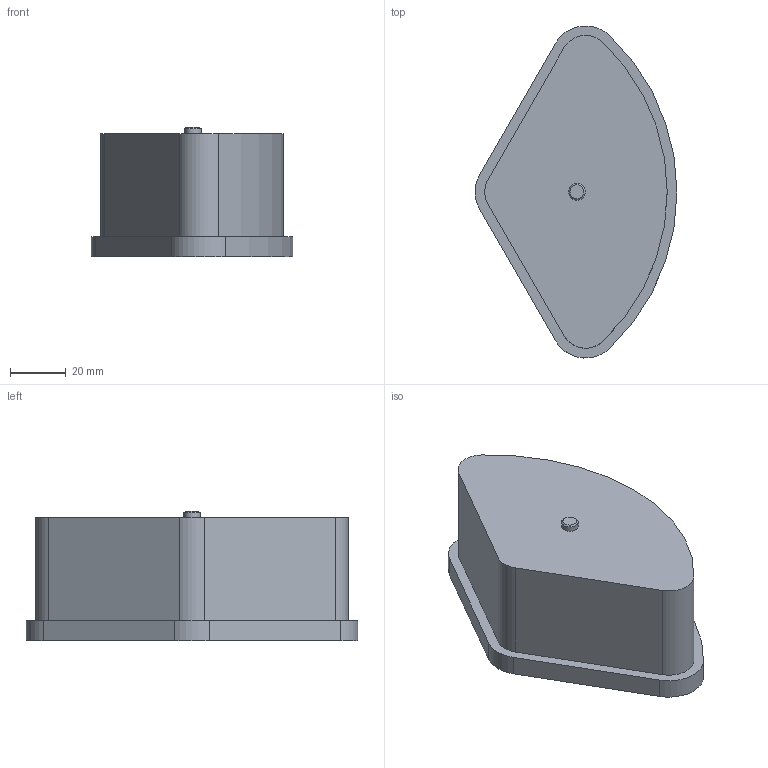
import cadquery as cq
import math

half_angle = math.radians(60)
block_arc_radius = 74.0
block_corner_radius = 9.0
side_inset = 6.0
flange_overhang = 3.5

flange_thickness = 7.2
block_top = 44.3
overall_height = 46.7

pin_diameter = 6.0
pin_chamfer = 0.5
pin_x = 41.5


def polar(center, radius, angle):
    """Point at the given radius and angle around a center."""
    return (center[0] + radius * math.cos(angle), center[1] + radius * math.sin(angle))


def mirrored(point):
    """Point reflected across the X axis."""
    return (point[0], -point[1])


def rounded_sector(overhang, bottom, height):
    """Extruded rounded sector, grown outward from the block outline by overhang."""
    arc_radius = block_arc_radius + overhang
    corner_radius = block_corner_radius + overhang

    center_inset = side_inset + block_corner_radius
    apex_center = (center_inset / math.sin(half_angle), 0)
    tip_distance = block_arc_radius - block_corner_radius
    tip_angle = half_angle - math.asin(center_inset / tip_distance)
    tip_center = polar((0, 0), tip_distance, tip_angle)

    side_normal = half_angle + math.pi / 2
    side_start = polar(apex_center, corner_radius, side_normal)
    side_end = polar(tip_center, corner_radius, side_normal)
    tip_middle = polar(tip_center, corner_radius, (side_normal + tip_angle) / 2)
    arc_start = polar((0, 0), arc_radius, tip_angle)
    apex = (apex_center[0] - corner_radius, 0)

    return (
        cq.Workplane("XY", origin=(0, 0, bottom))
        .moveTo(*side_start)
        .lineTo(*side_end)
        .threePointArc(tip_middle, arc_start)
        .threePointArc((arc_radius, 0), mirrored(arc_start))
        .threePointArc(mirrored(tip_middle), mirrored(side_end))
        .lineTo(*mirrored(side_start))
        .threePointArc(apex, side_start)
        .close()
        .extrude(height)
    )


flange = rounded_sector(flange_overhang, 0, flange_thickness)
block = rounded_sector(0, flange_thickness, block_top - flange_thickness)
housing = flange.union(block)

pin = (
    cq.Workplane("XY", origin=(pin_x, 0, block_top))
    .circle(pin_diameter / 2)
    .extrude(overall_height - block_top)
    .faces(">Z")
    .chamfer(pin_chamfer)
)

result = cq.Compound.makeCompound([housing.val(), pin.val()])